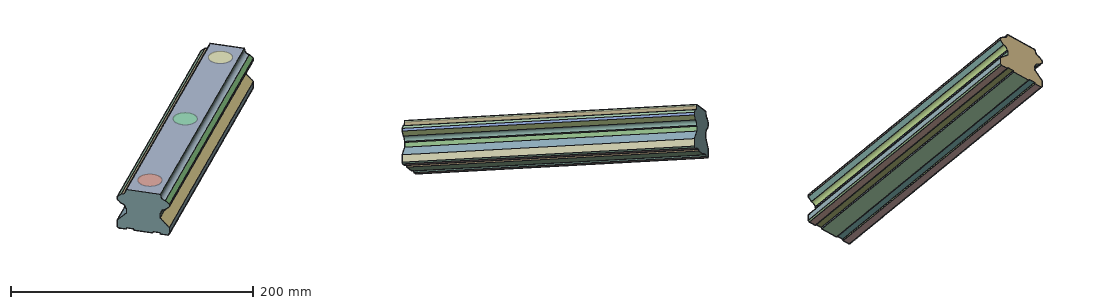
import cadquery as cq
import math

length = 250.0
width = 45.0
height = 38.0
half_width = width / 2

track_radius = 3.8
upper_track_depth = 1.5
lower_track_depth = 17.8
track_center_x = 19.0
upper_track_z = height - upper_track_depth
lower_track_z = height - lower_track_depth
track_wall_x = track_center_x - track_radius

upper_slope_drop = 3.0
lower_slope_rise = half_width - track_center_x
shoulder_top_z = upper_track_z - track_radius - upper_slope_drop
shoulder_bottom_z = lower_track_z + track_radius + lower_slope_rise

top_half_width = 14.8
waist_half_width = 14.5
waist_depth = 22.5
waist_top_z = lower_track_z - (track_wall_x - waist_half_width)
waist_bottom_z = height - waist_depth
foot_top_z = waist_bottom_z - (half_width - waist_half_width)
foot_chamfer = 1.2

relief_inner_x = 8.0
relief_outer_x = 14.8
relief_depth = 1.2
relief_taper = 0.5

cap_diameter = 20.0
cap_thickness = 2.5
cap_pitch = 105.0
cap_count = 3


def half_rail():
    """Solid on the +X side of the middle plane, with its outline in the XZ plane."""
    arc_offset = track_radius * math.sqrt(0.5)
    arc_mid_x = track_center_x - arc_offset
    outline = (
        cq.Workplane("XZ", origin=(0, length / 2, 0))
        .moveTo(0, height)
        .lineTo(top_half_width, height)
        .lineTo(track_wall_x, upper_track_z)
        .threePointArc(
            (arc_mid_x, upper_track_z - arc_offset),
            (track_center_x, upper_track_z - track_radius),
        )
        .lineTo(half_width, shoulder_top_z)
        .lineTo(half_width, shoulder_bottom_z)
        .lineTo(track_center_x, lower_track_z + track_radius)
        .threePointArc(
            (arc_mid_x, lower_track_z + arc_offset),
            (track_wall_x, lower_track_z),
        )
        .lineTo(waist_half_width, waist_top_z)
        .lineTo(waist_half_width, waist_bottom_z)
        .lineTo(half_width, foot_top_z)
        .lineTo(half_width, foot_chamfer)
        .lineTo(half_width - foot_chamfer, 0)
        .lineTo(relief_outer_x, 0)
        .lineTo(relief_outer_x - relief_taper, relief_depth)
        .lineTo(relief_inner_x + relief_taper, relief_depth)
        .lineTo(relief_inner_x, 0)
        .lineTo(0, 0)
        .close()
    )
    return outline.extrude(length)


def hole_caps():
    """Discs let into the top face, level with it."""
    return (
        cq.Workplane("XY", origin=(0, 0, height - cap_thickness))
        .rarray(2.5, cap_pitch, 1, cap_count)
        .circle(cap_diameter / 2)
        .extrude(cap_thickness)
    )


half = half_rail()
rail = half.union(half.mirror("YZ"))

result = rail.union(hole_caps(), clean=False)